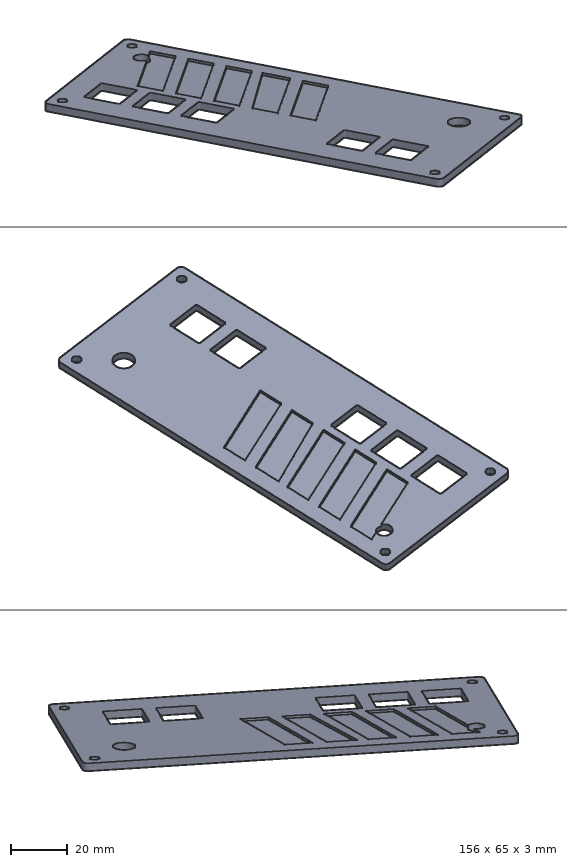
import cadquery as cq

LENGTH = 156.0
WIDTH = 65.0
THICKNESS = 3.0
CORNER_RADIUS = 2.0

MOUNT_DIAMETER = 3.5
MOUNT_INSET = 5.0

SMALL_HOLE_DIAMETER = 6.0
SMALL_HOLE_CENTER = (-65.2, 19.5)
LARGE_HOLE_DIAMETER = 8.0
LARGE_HOLE_CENTER = (60.4, 16.8)

SWITCH_SIDE = 14.0
SWITCH_RADIUS = 0.5
SWITCH_PITCH = 19.0
SWITCH_FIRST_X = -60.7
SWITCH_Y = -14.4
SWITCH_PLACES = (0, 1, 2, 5, 6)

POCKET_COUNT = 5
POCKET_WIDTH = 10.0
POCKET_HEIGHT = 30.1
POCKET_SLANT = 10.0
POCKET_PITCH = 15.0
POCKET_DEPTH = 1.0
POCKET_FIRST_X = -65.2
POCKET_TOP_Y = 26.0
WIDENED_POCKET = 3
WIDENED_EXTRA = 1.0


def make_plate():
    """Rounded plate centred on X and Y, resting on Z = 0."""
    plate = cq.Workplane("XY").box(LENGTH, WIDTH, THICKNESS, centered=(True, True, False))
    return plate.edges("|Z").fillet(CORNER_RADIUS)


def round_cutters(centers, diameter):
    """Cylinders through the full plate thickness."""
    return cq.Workplane("XY").pushPoints(centers).circle(diameter / 2).extrude(THICKNESS)


def mount_cutters():
    x = LENGTH / 2 - MOUNT_INSET
    y = WIDTH / 2 - MOUNT_INSET
    corners = [(-x, -y), (x, -y), (x, y), (-x, y)]
    return round_cutters(corners, MOUNT_DIAMETER)


def switch_cutters():
    """Round-cornered square prisms through the plate."""
    centers = [(SWITCH_FIRST_X + place * SWITCH_PITCH, SWITCH_Y) for place in SWITCH_PLACES]
    squares = cq.Workplane("XY").pushPoints(centers).rect(SWITCH_SIDE, SWITCH_SIDE)
    return squares.extrude(THICKNESS).edges("|Z").fillet(SWITCH_RADIUS)


def pocket_cutter(index):
    """Slanted prism; the widened pocket has its upper left corner moved outward."""
    left = POCKET_FIRST_X + index * POCKET_PITCH
    right = left + POCKET_WIDTH
    bottom_y = POCKET_TOP_Y - POCKET_HEIGHT
    extra = WIDENED_EXTRA if index == WIDENED_POCKET else 0
    outline = [
        (left - extra, POCKET_TOP_Y),
        (right, POCKET_TOP_Y),
        (right + POCKET_SLANT, bottom_y),
        (left + POCKET_SLANT, bottom_y),
    ]
    floor = cq.Workplane("XY", origin=(0, 0, THICKNESS - POCKET_DEPTH))
    return floor.polyline(outline).close().extrude(POCKET_DEPTH)


result = make_plate()
result = result.cut(mount_cutters())
result = result.cut(round_cutters([SMALL_HOLE_CENTER], SMALL_HOLE_DIAMETER))
result = result.cut(round_cutters([LARGE_HOLE_CENTER], LARGE_HOLE_DIAMETER))
result = result.cut(switch_cutters())
for pocket_index in range(POCKET_COUNT):
    result = result.cut(pocket_cutter(pocket_index))